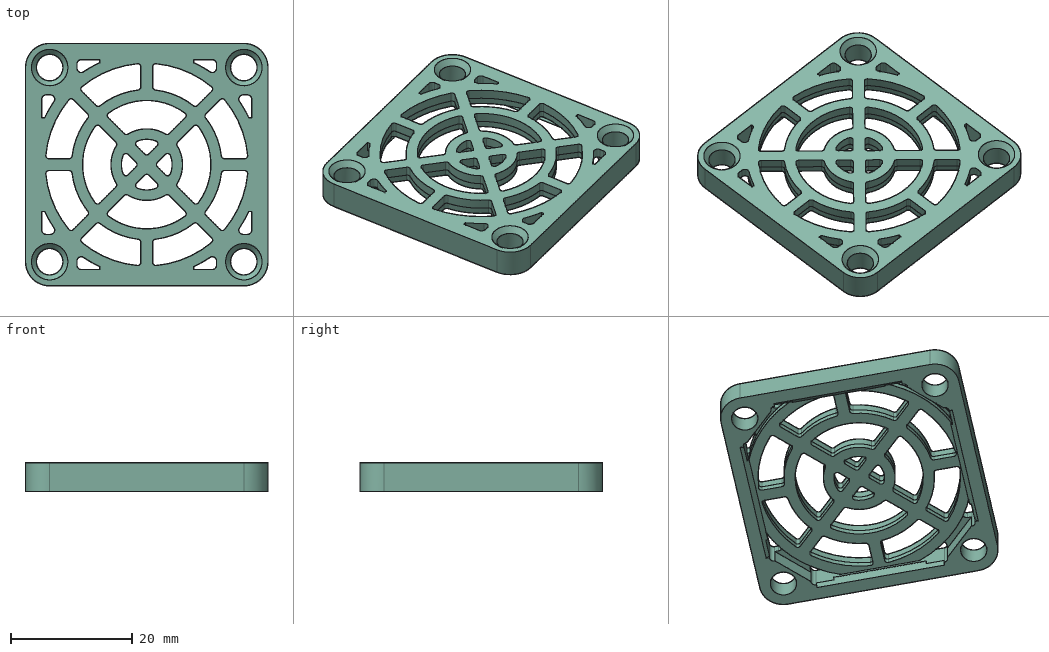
import cadquery as cq
SIDE = 40.0
HEIGHT = 4.75
CORNER_RADIUS = 4.0
COVER_THICKNESS = 1.7

RETAINER_THICKNESS = 1.1
RETAINER_RADIUS = 18.5
RECESS_HALF = 17.3
RECESS_CHAMFER = 6.55

BAR_WIDTH = 2.0
DIAGONAL_ANGLES = (45, 135)
STRAIGHT_ANGLES = (0, 90)
HUB_HOLE_RADIUS = 4.15
INNER_SLOT_RADII = (5.9, 10.55)
OUTER_SLOT_RADII = (12.4, 16.7)
SLOT_FILLET = 0.5

VENT_END = 11.5
VENT_FILLET = 0.7
VENT_TIP = 7.75

SCREW_OFFSET = 16.0
SCREW_DIAMETER = 4.3
SINK_DIAMETER = 6.0
SINK_ANGLE = 82.0

RIDGE_LENGTH = 2 * VENT_TIP
RIDGE_HEIGHT = 0.3
RIDGE_TIP_Z = 0.9

COVER_BOTTOM = HEIGHT - COVER_THICKNESS
RETAINER_BOTTOM = COVER_BOTTOM - RETAINER_THICKNESS
RIDGE_TIP_OFFSET = RECESS_HALF - RIDGE_HEIGHT
Z_AXIS = ((0, 0, 0), (0, 0, 1))


def ring(inner_radius, outer_radius):
    """Full-height ring around the grille axis."""
    return cq.Workplane("XY").circle(outer_radius).circle(inner_radius).extrude(HEIGHT)


def bars(angles):
    """Full-height bars across the grille at the given angles."""
    bar = cq.Workplane("XY").rect(SIDE, BAR_WIDTH).extrude(HEIGHT)
    cross = cq.Workplane("XY")
    for angle in angles:
        cross = cross.union(bar.rotate(*Z_AXIS, angle))
    return cross


def grille_openings():
    """Full-height cutters for all grille openings, with rounded corners."""
    hub = cq.Workplane("XY").circle(HUB_HOLE_RADIUS).extrude(HEIGHT).cut(bars(DIAGONAL_ANGLES))
    inner = ring(*INNER_SLOT_RADII).cut(bars(DIAGONAL_ANGLES))
    outer = ring(*OUTER_SLOT_RADII).cut(bars(DIAGONAL_ANGLES + STRAIGHT_ANGLES))
    return [openings.edges("|Z").fillet(SLOT_FILLET) for openings in (hub, inner, outer)]


def recess():
    """Square pocket from the bottom up to the cover, with chamfered corners."""
    square = cq.Workplane("XY").rect(2 * RECESS_HALF, 2 * RECESS_HALF).extrude(COVER_BOTTOM)
    return square.edges("|Z").chamfer(RECESS_CHAMFER)


def corner_vents():
    """Eight full-height vents, mirrored about each flat and repeated around the axis."""
    strip = (
        cq.Workplane("XY")
        .rect(VENT_END - VENT_TIP, RECESS_HALF, centered=False)
        .extrude(HEIGHT)
        .translate((VENT_TIP, 0, 0))
    )
    vent = strip.cut(cq.Workplane("XY").circle(RETAINER_RADIUS).extrude(HEIGHT))
    vent = vent.edges("|Z and >X").fillet(VENT_FILLET)
    pair = [vent, vent.mirror("YZ")]
    return [half.rotate(*Z_AXIS, 90 * i) for i in range(4) for half in pair]


def along_walls(outline, length):
    """Prisms of one (outward, up) outline, centred along each of the four recess walls."""
    prism = (
        cq.Workplane("YZ")
        .workplane(offset=-length / 2)
        .polyline(outline)
        .close()
        .extrude(length)
    )
    return [prism.rotate(*Z_AXIS, 90 * i) for i in range(4)]


def snap_ridges():
    """Ridges that hold the retainer flats; both faces slope at 45 degrees."""
    return along_walls(
        [
            (RECESS_HALF, RIDGE_TIP_Z + RIDGE_HEIGHT),
            (RIDGE_TIP_OFFSET, RIDGE_TIP_Z),
            (RECESS_HALF, RIDGE_TIP_Z - RIDGE_HEIGHT),
        ],
        RIDGE_LENGTH,
    )


def lead_in_chamfers():
    """Cutters that continue the lower ridge slopes to the bottom of the walls."""
    return along_walls(
        [
            (RIDGE_TIP_OFFSET, RIDGE_TIP_Z),
            (RIDGE_TIP_OFFSET + RIDGE_TIP_Z, 0),
            (RIDGE_TIP_OFFSET, 0),
        ],
        2 * (RECESS_HALF - RECESS_CHAMFER),
    )


def make_housing():
    """Square cover with a recess below, grille openings, vents, snap ridges and screw holes."""
    body = cq.Workplane("XY").rect(SIDE, SIDE).extrude(HEIGHT).edges("|Z").fillet(CORNER_RADIUS)
    body = body.cut(recess())
    for cutter in grille_openings() + corner_vents():
        body = body.cut(cutter)
    for ridge in snap_ridges():
        body = body.union(ridge)
    for chamfer in lead_in_chamfers():
        body = body.cut(chamfer)
    return (
        body.faces(">Z").workplane(origin=(0, 0, HEIGHT))
        .rect(2 * SCREW_OFFSET, 2 * SCREW_OFFSET, forConstruction=True)
        .vertices()
        .cskHole(SCREW_DIAMETER, SINK_DIAMETER, SINK_ANGLE)
    )


def make_retainer():
    """Disc with four flats that backs the cover and repeats its grille openings."""
    level = cq.Workplane("XY").workplane(offset=RETAINER_BOTTOM)
    square = level.rect(2 * RECESS_HALF, 2 * RECESS_HALF).extrude(RETAINER_THICKNESS)
    body = level.circle(RETAINER_RADIUS).extrude(RETAINER_THICKNESS).intersect(square)
    for cutter in grille_openings():
        body = body.cut(cutter)
    return body


housing = make_housing()
retainer = make_retainer()

result = cq.Compound.makeCompound([housing.val(), retainer.val()])